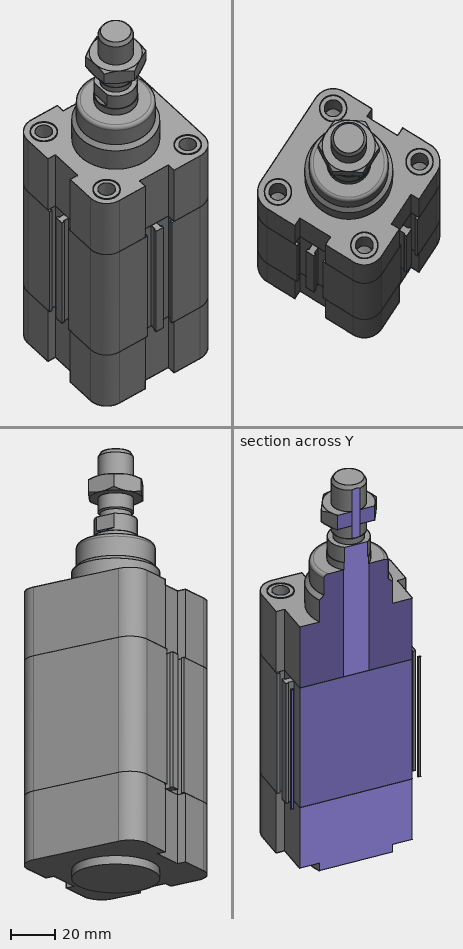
import cadquery as cq
import math

total_height = 204.0
body_width = 65.0
body_corner_radius = 9.4

rear_boss_height = 4.0
cap_height = 33.0
barrel_length = 64.9
front_boss_height = 24.9

barrel_bottom = rear_boss_height + cap_height
barrel_top = barrel_bottom + barrel_length
front_face = barrel_top + cap_height
boss_top = front_face + front_boss_height

boss_diameter = 40.0
boss_neck_diameter = 36.0
boss_shoulder_height = 13.9
boss_shoulder_chamfer = (boss_diameter - boss_neck_diameter) / 2
boss_rim_fillet = 1.8

slot_angles = (0, -90, 180)
slot_width = 16.5
slot_depth = 4.3
slot_opening = 14.0
slot_lip_thickness = 1.5
rib_stem_width = 3.0
rib_flange_width = 4.3

screw_hole_spacing = 46.5
screw_hole_diameter = 8.0
screw_hole_depth = 16.3
drill_point_angle = 118.0
ring_outer_diameter = 12.5
ring_inner_diameter = 12.0
ring_depth = 0.5

rod_diameter = 20.0
rod_land_height = 3.9
wrench_diameter = 19.5
flats_width = 17.1
flats_height = 6.7
thread_start = 175.0
thread_diameter = 16.1
thread_relief_diameter = 14.5
thread_relief_bottom = 172.0
tip_diameter = 13.9
tip_chamfer_height = 2.0
thread_end_chamfer_height = 0.6

nut_sides = 6
nut_width = 24.0
nut_height = 8.0
nut_bottom = 182.4
nut_chamfer_angle = 30.0


def cylinder(diameter, bottom, height):
    return cq.Workplane("XY").workplane(offset=bottom).circle(diameter / 2).extrude(height)


def square_block(bottom, height):
    """Square prism with rounded vertical edges, shared by the caps and the barrel."""
    block = cq.Workplane("XY").workplane(offset=bottom).rect(body_width, body_width).extrude(height)
    return block.edges("|Z").fillet(body_corner_radius)


def side_bar(width, outer_depth, inner_depth, bottom, height):
    """Bar just inside the +X side, between two depths below that side."""
    center_x = body_width / 2 - (outer_depth + inner_depth) / 2
    return (
        cq.Workplane("XY")
        .workplane(offset=bottom)
        .center(center_x, 0)
        .rect(inner_depth - outer_depth, width)
        .extrude(height)
    )


def cut_on_slot_sides(body, cutter):
    for angle in slot_angles:
        body = body.cut(cutter.rotate((0, 0, 0), (0, 0, 1), angle))
    return body


def make_cap_block(bottom):
    """Cap block with a plain rectangular slot on each slotted side."""
    slot = side_bar(slot_width, 0, slot_depth, bottom, cap_height)
    return cut_on_slot_sides(square_block(bottom, cap_height), slot)


def make_rear_cap():
    return make_cap_block(rear_boss_height).union(cylinder(boss_diameter, 0, rear_boss_height))


def make_front_boss():
    shoulder = cylinder(boss_diameter, front_face, boss_shoulder_height)
    shoulder = shoulder.faces(">Z").edges().chamfer(boss_shoulder_chamfer)
    neck = cylinder(boss_neck_diameter, front_face, front_boss_height)
    neck = neck.faces(">Z").edges().fillet(boss_rim_fillet)
    return shoulder.union(neck)


def make_screw_hole():
    """Blind hole with a drill point, its mouth at the front face."""
    radius = screw_hole_diameter / 2
    point_depth = radius / math.tan(math.radians(drill_point_angle / 2))
    return (
        cq.Workplane("XZ")
        .moveTo(0, front_face)
        .lineTo(radius, front_face)
        .lineTo(radius, front_face - screw_hole_depth)
        .lineTo(0, front_face - screw_hole_depth - point_depth)
        .close()
        .revolve(360, (0, 0, 0), (0, 1, 0))
    )


def make_ring_groove():
    ring_bottom = front_face - ring_depth
    ring = cylinder(ring_outer_diameter, ring_bottom, ring_depth)
    return ring.cut(cylinder(ring_inner_diameter, ring_bottom, ring_depth))


def make_front_cap():
    cap = make_cap_block(barrel_top).union(make_front_boss())
    cap = cap.cut(cylinder(rod_diameter, barrel_top, boss_top - barrel_top))
    screw_hole = make_screw_hole()
    ring_groove = make_ring_groove()
    half_spacing = screw_hole_spacing / 2
    for x in (-half_spacing, half_spacing):
        for y in (-half_spacing, half_spacing):
            for cutter in (screw_hole, ring_groove):
                cap = cap.cut(cutter.translate((x, y, 0)))
    return cap


def make_barrel():
    """Barrel whose slots have an inward lip on each edge and a T-shaped rib in the middle."""
    span = (barrel_bottom, barrel_length)
    opening = side_bar(slot_opening, 0, slot_lip_thickness, *span)
    channel = side_bar(slot_width, slot_lip_thickness, slot_depth, *span)
    rib_flange = side_bar(rib_flange_width, 0, slot_lip_thickness, *span)
    rib_stem = side_bar(rib_stem_width, slot_lip_thickness, slot_depth, *span)
    slot = opening.cut(rib_flange).union(channel.cut(rib_stem))
    return cut_on_slot_sides(square_block(*span), slot)


def make_flat_cutter():
    """Cutter for the +Y wrench flat, whose lower end runs out at 45 degrees."""
    flat_y = flats_width / 2
    outer_y = rod_diameter / 2
    flat_bottom = thread_relief_bottom - flats_height
    runout_bottom = flat_bottom - (outer_y - flat_y)
    return (
        cq.Workplane("YZ")
        .moveTo(flat_y, thread_relief_bottom)
        .lineTo(flat_y, flat_bottom)
        .lineTo(outer_y, runout_bottom)
        .lineTo(outer_y, thread_relief_bottom)
        .close()
        .extrude(rod_diameter / 2, both=True)
    )


def make_rod():
    """Piston rod from the barrel to the threaded tip, with wrench flats below the thread."""
    land_top = boss_top + rod_land_height
    rod = cylinder(rod_diameter, barrel_top, land_top - barrel_top)

    wrench_section = cylinder(wrench_diameter, land_top, thread_relief_bottom - land_top)
    flat_cutter = make_flat_cutter()
    for angle in (0, 180):
        wrench_section = wrench_section.cut(flat_cutter.rotate((0, 0, 0), (0, 0, 1), angle))

    relief = cylinder(thread_relief_diameter, thread_relief_bottom, thread_start - thread_relief_bottom)
    tip_chamfer_width = (thread_diameter - tip_diameter) / 2
    end_chamfer_width = (thread_diameter - thread_relief_diameter) / 2
    thread = cylinder(thread_diameter, thread_start, total_height - thread_start)
    thread = thread.faces(">Z").edges().chamfer(tip_chamfer_height, tip_chamfer_width)
    thread = thread.faces("<Z").edges().chamfer(thread_end_chamfer_height, end_chamfer_width)
    return rod.union(wrench_section).union(relief).union(thread)


def make_nut():
    """Hexagon nut with corners on X, chamfered at both ends by cones touching the flats."""
    across_corners = nut_width / math.cos(math.pi / nut_sides)
    nut = cq.Workplane("XY").workplane(offset=nut_bottom).polygon(nut_sides, across_corners).extrude(nut_height)
    corner_radius = across_corners / 2
    chamfer_height = (corner_radius - nut_width / 2) * math.tan(math.radians(nut_chamfer_angle))
    envelope = cylinder(across_corners, nut_bottom, nut_height)
    envelope = envelope.edges("%CIRCLE").chamfer(chamfer_height, corner_radius - nut_width / 2)
    nut = nut.intersect(envelope)
    return nut.cut(cylinder(thread_diameter, nut_bottom, nut_height))


rear_cap = make_rear_cap()
barrel = make_barrel()
front_cap = make_front_cap()
rod = make_rod()
nut = make_nut()

result = cq.Compound.makeCompound([rear_cap.val(), barrel.val(), front_cap.val(), rod.val(), nut.val()])